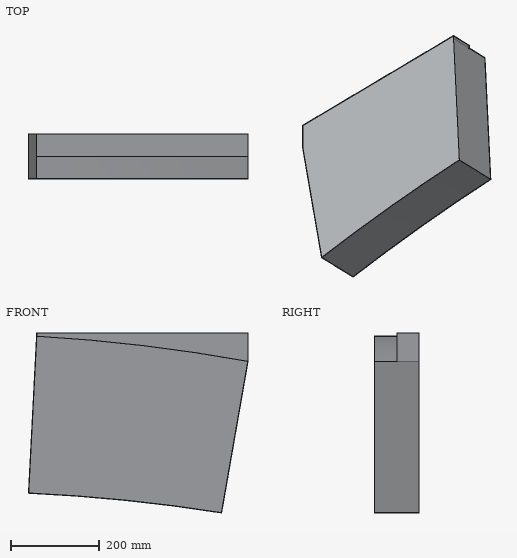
import cadquery as cq
import math

width = 496.56
height = 407.45
thickness = 101.6

left_lean = math.radians(2.95)
right_lean = math.radians(9.9)
left_side_length = 355.6
right_side_length = 347.9
arc_radius = 3937

wedge_thickness = thickness / 2
wedge_left_height = 7.8

top_left_z = height - wedge_left_height
bottom_left = (0, top_left_z - left_side_length * math.cos(left_lean))
top_left = (left_side_length * math.sin(left_lean), top_left_z)
top_right = (width, right_side_length * math.cos(right_lean))
bottom_right = (width - right_side_length * math.sin(right_lean), 0)


def crown_point(left, right):
    """Middle point of the upward-bulging arc between two corners."""
    run = right[0] - left[0]
    rise = right[1] - left[1]
    chord = math.hypot(run, rise)
    sag = arc_radius - math.sqrt(arc_radius**2 - (chord / 2) ** 2)
    middle_x = (left[0] + right[0]) / 2
    middle_z = (left[1] + right[1]) / 2
    return (middle_x - sag * rise / chord, middle_z + sag * run / chord)


def make_panel():
    """Panel with curved top and bottom edges, through the full thickness."""
    return (
        cq.Workplane("XZ")
        .moveTo(*bottom_left)
        .lineTo(*top_left)
        .threePointArc(crown_point(top_left, top_right), top_right)
        .lineTo(*bottom_right)
        .threePointArc(crown_point(bottom_left, bottom_right), bottom_left)
        .close()
        .extrude(-thickness)
    )


def make_wedge():
    """Flat-topped wedge resting on the curved top edge of the panel."""
    return (
        cq.Workplane("XZ", origin=(0, thickness, 0))
        .moveTo(*top_left)
        .lineTo(top_left[0], height)
        .lineTo(width, height)
        .lineTo(*top_right)
        .threePointArc(crown_point(top_left, top_right), top_left)
        .close()
        .extrude(wedge_thickness)
    )


result = make_panel().union(make_wedge())